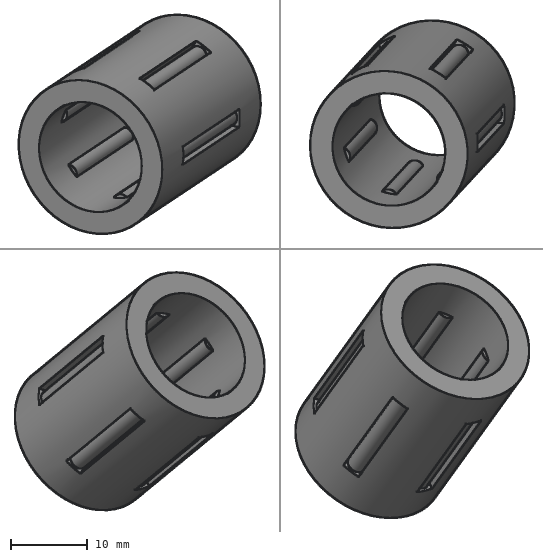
import cadquery as cq

length = 28.0
outer_radius = 10.5
bore_radius = 7.5

roller_count = 6
roller_length = 16.0
roller_radius = 1.23
outer_ring_radius = 8.9
inner_ring_radius = 8.2
inner_ring_angle = 40.0


def cylinder(radius, height):
    """Cylinder along Y, centred on the origin."""
    return cq.Workplane("XZ").circle(radius).extrude(height / 2, both=True)


def turn(body, angle):
    """Turn a body about the sleeve axis, from +X toward +Z."""
    return body.rotate((0, 0, 0), (0, 1, 0), -angle)


sleeve = cylinder(outer_radius, length).cut(cylinder(bore_radius, length))

slot_depth = outer_radius - outer_ring_radius
slot = (
    cq.Workplane("XY")
    .box(2 * slot_depth, roller_length, 2 * roller_radius)
    .translate((outer_radius, 0, 0))
)
roller = cylinder(roller_radius, roller_length)
outer_roller = roller.translate((outer_ring_radius, 0, 0))
inner_roller = roller.translate((inner_ring_radius, 0, 0))

result = sleeve
for index in range(roller_count):
    angle = index * 360 / roller_count
    result = result.cut(turn(slot, angle))
    result = result.union(turn(outer_roller, angle))
    result = result.union(turn(inner_roller, angle + inner_ring_angle))